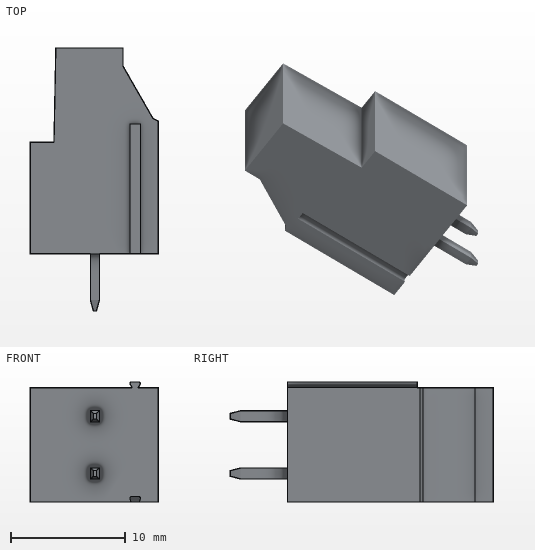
import cadquery as cq
import math

overall_length = 23.0
pin_length = 5.0
body_length = overall_length - pin_length
body_width = 11.2
body_height = 10.0
shoulder_length = 9.78
step_foot_x = 2.07
step_top_x = 2.23
nose_right_x = 8.12
slope_start_y = 16.42
slope_end = (10.75, 11.85)
right_wall_length = 11.62

dovetail_x = 9.18
dovetail_length = 11.36
dovetail_height = 10.5 - body_height
rail_neck = 0.55
rail_flank_angle = 30.0
rail_rounding = 0.15
groove_mouth = 0.71
groove_flank_angle = 20.0
groove_rounding = 0.18

pin_count = 2
pin_pitch = body_height / pin_count
pin_x = 5.65
pin_width = 0.8
pin_height = 1.0
tip_length = 0.95
tip_width = 0.28
tip_height = 0.5


def make_body():
    """Extrude the housing outline along Z."""
    outline = [
        (0, 0),
        (body_width, 0),
        (body_width, right_wall_length),
        slope_end,
        (nose_right_x, slope_start_y),
        (nose_right_x, body_length),
        (step_top_x, body_length),
        (step_foot_x, shoulder_length),
        (0, shoulder_length),
    ]
    return cq.Workplane("XY").polyline(outline).close().extrude(body_height)


def make_dovetail(base_z, neck_width, flank_angle, rounding):
    """Dovetail bar along Y, rising from base_z, with its two upper edges rounded."""
    half_neck = neck_width / 2
    half_top = half_neck + dovetail_height * math.tan(math.radians(flank_angle))
    bar = (
        cq.Workplane("XZ", origin=(dovetail_x, 0, base_z))
        .polyline([
            (-half_neck, 0),
            (half_neck, 0),
            (half_top, dovetail_height),
            (-half_top, dovetail_height),
        ])
        .close()
        .extrude(-dovetail_length)
    )
    return bar.faces(">Z").edges("|Y").fillet(rounding)


def make_pin(center_z):
    """Rectangular pin ending in a tapered tip."""
    shank_length = pin_length - tip_length
    face = cq.Workplane("XZ", origin=(pin_x, 0, center_z))
    shank = face.rect(pin_width, pin_height).extrude(shank_length)
    tip = (
        face.workplane(offset=shank_length)
        .rect(pin_width, pin_height)
        .workplane(offset=tip_length)
        .rect(tip_width, tip_height)
        .loft(ruled=True)
    )
    return shank.union(tip)


rail = make_dovetail(body_height, rail_neck, rail_flank_angle, rail_rounding)
groove = make_dovetail(0, groove_mouth, groove_flank_angle, groove_rounding)

result = make_body().union(rail).cut(groove)
for index in range(pin_count):
    result = result.union(make_pin((index + 0.5) * pin_pitch))